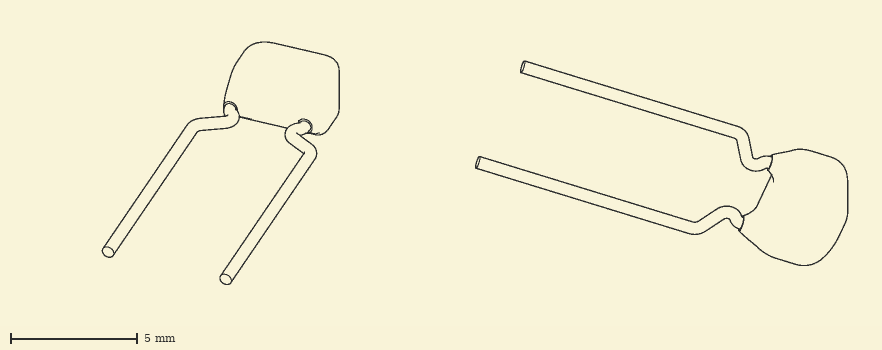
import cadquery as cq
import math

TOTAL_LENGTH = 14.5

BODY_WIDTH = 4.0
BODY_LENGTH = 3.7
BACK_CROWN_RADIUS = 3.0
BACK_CORNER_RADIUS = 1.0
LEG_OUTER_X = 1.88
LEG_INNER_X = 1.29

BODY_HEIGHT = 2.5
BACK_EDGE_RADIUS = 0.8
SHOULDER_START_Y = 1.62
SHOULDER_RADIUS = 1.19
SHOULDER_ANGLE = math.radians(45)
NOTCH_Y = 0.39
NOTCH_HALF_HEIGHT = 0.58
LEG_TIP_HALF_HEIGHT = 0.33

EDGE_RADIUS = 0.3

LEAD_DIAMETER = 0.5
LEAD_PITCH = 5.0
WAIST_X = 1.26
WAIST_Y = -0.6
WAIST_BEND_RADIUS = 0.39
END_BEND_RADIUS = 0.45
OUTWARD_ANGLE = math.radians(60)

half_width = BODY_WIDTH / 2
half_height = BODY_HEIGHT / 2
shoulder_end_y = SHOULDER_START_Y - SHOULDER_RADIUS * math.sin(SHOULDER_ANGLE)
lead_start_x = (LEG_INNER_X + LEG_OUTER_X) / 2
lead_end_x = LEAD_PITCH / 2
lead_end_y = BODY_LENGTH - TOTAL_LENGTH


def on_circle(center, radius, angle):
    """Point on a circle, with the angle measured from the second axis towards the first."""
    return (
        center[0] + radius * math.sin(angle),
        center[1] + radius * math.cos(angle),
    )


def outline_half():
    """The +X half of the body outline, as a block over the upper half of the thickness."""
    crown_center = (0, BODY_LENGTH - BACK_CROWN_RADIUS)
    corner_x = half_width - BACK_CORNER_RADIUS
    center_distance = BACK_CROWN_RADIUS - BACK_CORNER_RADIUS
    crown_angle = math.asin(corner_x / center_distance)
    corner_y = crown_center[1] + center_distance * math.cos(crown_angle)
    notch_corner_radius = NOTCH_Y
    notch_corner_x = LEG_INNER_X - notch_corner_radius
    return (
        cq.Workplane("XY")
        .moveTo(0, BODY_LENGTH)
        .threePointArc(
            on_circle(crown_center, BACK_CROWN_RADIUS, crown_angle / 2),
            on_circle(crown_center, BACK_CROWN_RADIUS, crown_angle),
        )
        .tangentArcPoint((half_width, corner_y), relative=False)
        .lineTo(half_width, shoulder_end_y)
        .tangentArcPoint((LEG_OUTER_X, 0), relative=False)
        .lineTo(LEG_INNER_X, 0)
        .threePointArc(
            on_circle((notch_corner_x, 0), notch_corner_radius, math.radians(45)),
            (notch_corner_x, NOTCH_Y),
        )
        .lineTo(0, NOTCH_Y)
        .close()
        .extrude(half_height)
    )


def section_half():
    """The upper half of the body section, as a block over the +X half of the width."""
    back_center = (BODY_LENGTH - BACK_EDGE_RADIUS, half_height - BACK_EDGE_RADIUS)
    shoulder_center = (SHOULDER_START_Y, half_height - SHOULDER_RADIUS)
    return (
        cq.Workplane("YZ")
        .moveTo(0, 0)
        .lineTo(BODY_LENGTH, 0)
        .lineTo(BODY_LENGTH, back_center[1])
        .threePointArc(
            on_circle(back_center, BACK_EDGE_RADIUS, math.radians(45)),
            (back_center[0], half_height),
        )
        .lineTo(SHOULDER_START_Y, half_height)
        .threePointArc(
            on_circle(shoulder_center, SHOULDER_RADIUS, -SHOULDER_ANGLE / 2),
            on_circle(shoulder_center, SHOULDER_RADIUS, -SHOULDER_ANGLE),
        )
        .tangentArcPoint((NOTCH_Y, NOTCH_HALF_HEIGHT), relative=False)
        .lineTo(0, LEG_TIP_HALF_HEIGHT)
        .close()
        .extrude(half_width)
    )


def make_body():
    """One quarter of the body with its edges rounded, mirrored to the other three."""
    quarter = outline_half().intersect(section_half())
    side_edge = (half_width, (SHOULDER_START_Y + BODY_LENGTH - BACK_CORNER_RADIUS) / 2, half_height)
    notch_edge = (LEG_INNER_X / 2, NOTCH_Y, NOTCH_HALF_HEIGHT)
    nearest = cq.selectors.NearestToPointSelector
    quarter = quarter.edges(nearest(side_edge) + nearest(notch_edge)).fillet(EDGE_RADIUS)
    upper = quarter.union(quarter.mirror("YZ"))
    return upper.union(upper.mirror("XY")).clean().solids()


def make_lead(side):
    """Round wire from the leg tip on the given side (-1 or 1) of the YZ plane."""
    inward_shift = lead_start_x - WAIST_X
    inward_radius = (inward_shift**2 + WAIST_Y**2) / (4 * inward_shift)
    inward_angle = math.asin(-WAIST_Y / 2 / inward_radius)
    arc_middle_x = lead_start_x - inward_radius * (1 - math.cos(inward_angle / 2))
    arc_middle_y = -inward_radius * math.sin(inward_angle / 2)
    stretch_start_x = WAIST_X + WAIST_BEND_RADIUS * (1 - math.cos(OUTWARD_ANGLE))
    stretch_start_y = WAIST_Y - WAIST_BEND_RADIUS * math.sin(OUTWARD_ANGLE)
    stretch_end_x = lead_end_x - END_BEND_RADIUS * (1 - math.cos(OUTWARD_ANGLE))
    stretch_end_y = stretch_start_y - (stretch_end_x - stretch_start_x) / math.tan(OUTWARD_ANGLE)
    straight_start_y = stretch_end_y - END_BEND_RADIUS * math.sin(OUTWARD_ANGLE)
    path = (
        cq.Workplane("XY")
        .moveTo(side * lead_start_x, 0)
        .threePointArc(
            (side * arc_middle_x, arc_middle_y),
            (side * (lead_start_x + WAIST_X) / 2, WAIST_Y / 2),
        )
        .tangentArcPoint((side * WAIST_X, WAIST_Y), relative=False)
        .tangentArcPoint((side * stretch_start_x, stretch_start_y), relative=False)
        .lineTo(side * stretch_end_x, stretch_end_y)
        .tangentArcPoint((side * lead_end_x, straight_start_y), relative=False)
        .lineTo(side * lead_end_x, lead_end_y)
    )
    return (
        cq.Workplane("XZ", origin=(side * lead_start_x, 0, 0))
        .circle(LEAD_DIAMETER / 2)
        .sweep(path)
    )


body = make_body()
leads = [make_lead(side) for side in (-1, 1)]

result = cq.Compound.makeCompound([body.val(), *[lead.val() for lead in leads]])